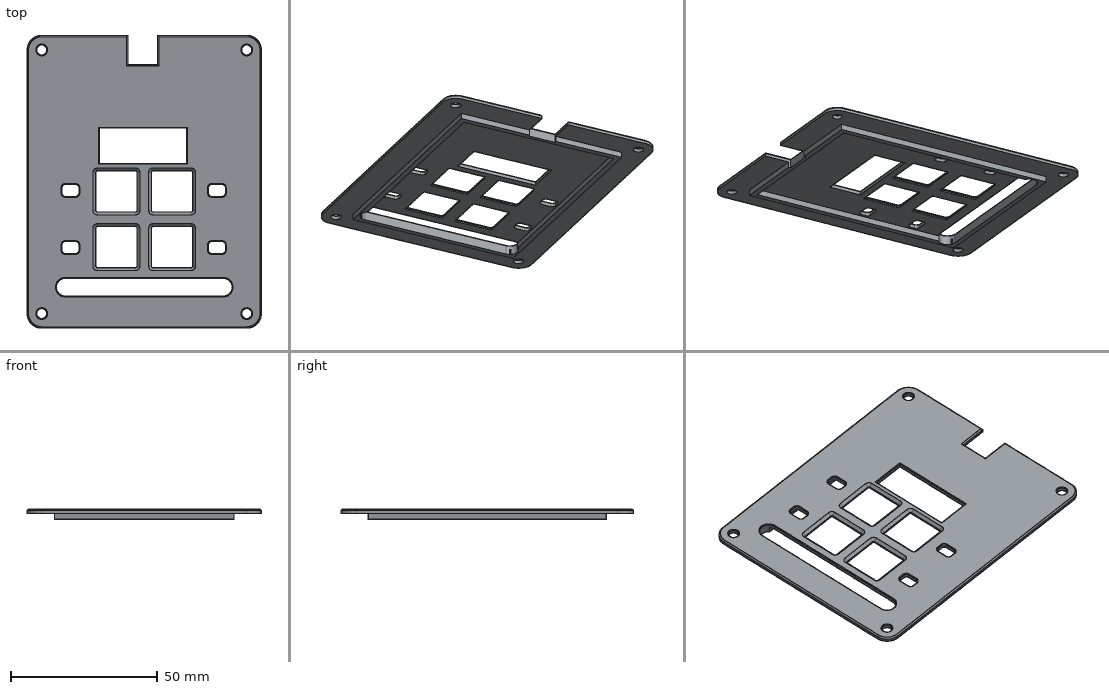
import cadquery as cq
plate_width = 80.0
plate_length = 100.0
plate_thickness = 1.5
corner_radius = 5.0
edge_chamfer = 0.5
opening_chamfer = 0.3

total_height = 3.5
rim_height = total_height - plate_thickness
rim_inset = 9.3
rim_wall = 2.0
rim_width = plate_width - 2 * rim_inset
rim_length = plate_length - 2 * rim_inset

screw_diameter = 3.4
screw_x = plate_width / 2 - corner_radius
screw_y = plate_length / 2 - corner_radius

notch_x = -0.5
notch_width = 10.0
notch_depth = 10.0

window_x = -0.4
window_width = 29.7
window_length = 12.0
window_y = 12.3

key_size = 14.0
key_pitch = 19.0
key_centre_y = -12.8
key_corner_radius = 0.5
key_chamfer = 1.0

side_width = 5.8
side_length = 4.1
side_corner_radius = 1.2
side_centre_x = -0.2
side_spacing = 50.0
side_pitch = 19.5
side_centre_y = -12.7

slot_length = 60.0
slot_width = 6.0
slot_y = -36.0


def block(width, length, height, x=0.0, y=0.0, top=0.0):
    """Upright box centred at (x, y) that hangs down from the height `top`."""
    return cq.Workplane("XY").box(width, length, height, (True, True, False)).translate((x, y, top - height))


def pair(centre, pitch):
    """Two places spaced by `pitch` around `centre`."""
    return (centre - pitch / 2, centre + pitch / 2)


def blank():
    """Rounded plate with the rectangular rim below it."""
    plate = block(plate_width, plate_length, plate_thickness).edges("|Z").fillet(corner_radius)
    rim = block(rim_width, rim_length, rim_height, top=-plate_thickness)
    rim_opening = block(rim_width - 2 * rim_wall, rim_length - 2 * rim_wall, rim_height, top=-plate_thickness)
    return plate.union(rim.cut(rim_opening))


def screw_holes():
    corners = [(x, y) for x in (-screw_x, screw_x) for y in (-screw_y, screw_y)]
    return cq.Workplane("XY").pushPoints(corners).circle(screw_diameter / 2).extrude(-total_height)


def cable_notch():
    return block(notch_width, 2 * notch_depth, total_height, notch_x, plate_length / 2)


def display_window():
    return block(window_width, window_length, total_height, window_x, window_y)


def front_slot():
    return cq.Workplane("XY").center(0, slot_y).slot2D(slot_length, slot_width).extrude(-total_height)


def side_openings():
    opening = block(side_width, side_length, plate_thickness).edges("|Z").fillet(side_corner_radius)
    cutter = cq.Workplane("XY")
    for x in pair(side_centre_x, side_spacing):
        for y in pair(side_centre_y, side_pitch):
            cutter = cutter.union(opening.translate((x, y, 0)))
    return cutter


def key_openings():
    opening = block(key_size, key_size, plate_thickness).edges("|Z").fillet(key_corner_radius)
    bevel = opening.faces("<Z").wires().toPending().extrude(key_chamfer, taper=-45)
    bevel = bevel.translate((0, 0, plate_thickness - key_chamfer))
    opening = opening.union(bevel)
    cutter = cq.Workplane("XY")
    for x in pair(0, key_pitch):
        for y in pair(key_centre_y, key_pitch):
            cutter = cutter.union(opening.translate((x, y, 0)))
    return cutter


result = blank().cut(cable_notch()).faces(">Z").edges().chamfer(edge_chamfer)

for cutter in (screw_holes(), display_window(), front_slot(), side_openings()):
    result = result.cut(cutter)
opening_edges = [edge for wire in result.faces(">Z").val().innerWires() for edge in wire.Edges()]
result = result.newObject(opening_edges).chamfer(opening_chamfer)

result = result.cut(key_openings())